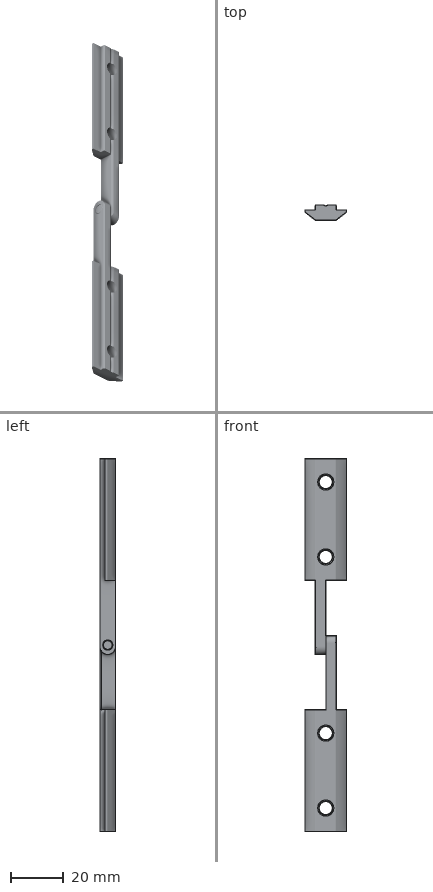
import cadquery as cq
import math

total_length = 141.4
depth = 5.9
width = 15.75

front_y = -depth / 2
back_y = depth / 2
face_width = 7.75
bevel_angle = 37.5
bevel_fillet = 0.65
rib_width = 8.0
rib_height = 1.9
rib_fillet = 0.5
groove_width = 1.8
groove_depth = 0.5

bar_length = 46.2
arm_reach = 3.6
arm_end_radius = depth / 2

hole_diameter = 5.0
hole_mouth_diameter = 6.1
hole_end_distance = 8.9
hole_count = 2
hole_spacing = 28.4

pin_diameter = 3.8
pin_chamfer = 0.25


def slot_bar(length):
    """Symmetric slot bar along Z: a wide flange bevelled to the front and a grooved rib at the back."""
    flange_back = back_y - rib_height
    half_rib = rib_width / 2
    half_face = face_width / 2
    bevel_rise = (width / 2 - half_face) * math.tan(math.radians(bevel_angle))
    bar = (
        cq.Workplane("XY")
        .moveTo(0, front_y)
        .lineTo(half_face, front_y)
        .lineTo(width / 2, front_y + bevel_rise)
        .lineTo(width / 2, flange_back)
        .lineTo(half_rib, flange_back)
        .lineTo(half_rib, back_y)
        .lineTo(groove_width / 2, back_y)
        .lineTo(0, back_y - groove_depth)
        .mirrorY()
        .extrude(length)
    )
    bevel_ends = [(half_face, front_y), (width / 2, front_y + bevel_rise)]
    bar = round_edges(bar, bevel_ends, bevel_fillet)
    return round_edges(bar, [(half_rib, back_y)], rib_fillet)


def round_edges(bar, corners, radius):
    """Fillet the lengthwise edges that pass through the given XY corners and their mirror images."""
    reach = 0.01
    for x, y in corners:
        for side in (-x, x):
            edge = cq.selectors.BoxSelector(
                (side - reach, y - reach, -1), (side + reach, y + reach, total_length)
            )
            bar = bar.edges("|Z").edges(edge).fillet(radius)
    return bar


def arm_envelope():
    """Round-ended block, half a rib wide, from the pivot end of the arm up to the bar."""
    arc_center_z = arm_end_radius - arm_reach
    top_z = total_length / 2
    return (
        cq.Workplane("YZ")
        .moveTo(front_y, top_z)
        .lineTo(front_y, arc_center_z)
        .threePointArc((0, -arm_reach), (back_y, arc_center_z))
        .lineTo(back_y, top_z)
        .close()
        .extrude(-rib_width / 2)
    )


def hole_cutter(z):
    """Through hole along Y with a countersunk mouth on the front face."""
    mouth_depth = (hole_mouth_diameter - hole_diameter) / 2
    return (
        cq.Workplane("XY")
        .moveTo(0, front_y)
        .lineTo(hole_mouth_diameter / 2, front_y)
        .lineTo(hole_diameter / 2, front_y + mouth_depth)
        .lineTo(hole_diameter / 2, back_y)
        .lineTo(0, back_y)
        .close()
        .revolve(360, (0, 0, 0), (0, 1, 0))
        .translate((0, 0, z))
    )


def hinge_leaf():
    """Upper leaf: a slot bar whose left half continues down as an arm to the pivot."""
    end_z = total_length / 2
    bar = slot_bar(bar_length).translate((0, 0, end_z - bar_length))
    full_length = end_z + arm_reach
    arm = slot_bar(full_length).translate((0, 0, -arm_reach)).intersect(arm_envelope())
    leaf = bar.union(arm)
    for index in range(hole_count):
        leaf = leaf.cut(hole_cutter(end_z - hole_end_distance - index * hole_spacing))
    pin_hole = cq.Workplane("YZ").circle(pin_diameter / 2).extrude(rib_width, both=True)
    return leaf.cut(pin_hole)


def pivot_pin():
    """Chamfered pin along X through both arms, flush with their outer sides."""
    pin = cq.Workplane("YZ").circle(pin_diameter / 2).extrude(rib_width / 2, both=True)
    return pin.faces("<X or >X").chamfer(pin_chamfer)


leaves = [hinge_leaf().rotate((0, 0, 0), (0, 1, 0), turn) for turn in (0, 180)]
pin = pivot_pin()

result = cq.Compound.makeCompound([*(leaf.val() for leaf in leaves), pin.val()])